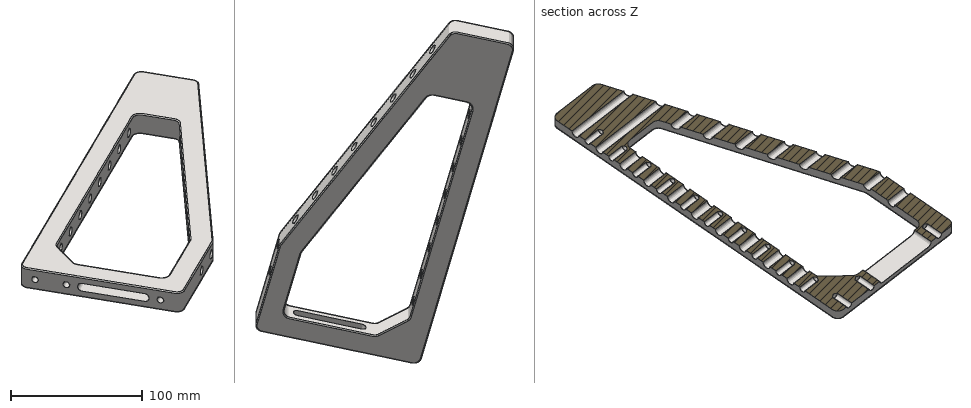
import cadquery as cq
import math

length = 300.0
width = 130.0
thickness = 18.0
mid_height = thickness / 2
edge_chamfer = 1.0

top_width = 49.8
slant_angle = 20.0
outer_corner_radius = 6.0
slant_run = math.tan(math.radians(slant_angle))
slant_foot_y = length - (width - top_width) / slant_run

wall = 17.7
window_top_y = 240.0
window_corner_radius = 6.0
gusset_leg = 21.0

hole_pitch = length / 12
hole_count = 10
through_diameter = 7.0
tapped_diameter = 5.0
tapped_depth = 15.0
drill_tip_angle = 118.0
slot_height = through_diameter
slot_length = 2 * hole_pitch + slot_height
slot_center_x = 3 * hole_pitch
end_hole_steps = (0.5, 1.5, 4.5)


def make_blank():
    """Plate with one slanted side and rounded corners."""
    outline = [
        (0, 0),
        (width, 0),
        (width, slant_foot_y),
        (top_width, length),
        (0, length),
    ]
    blank = cq.Workplane("XY").polyline(outline).close().extrude(thickness)
    return blank.edges("|Z").fillet(outer_corner_radius)


def make_window():
    """Opening that follows the outline, with a gusset across one corner."""
    right_x = width - wall
    slant_wall_x = wall / math.cos(math.radians(slant_angle))
    top_right_x = top_width - slant_wall_x + (length - window_top_y) * slant_run
    foot_y = window_top_y - (right_x - top_right_x) / slant_run
    outline = [
        (wall + gusset_leg, wall),
        (right_x, wall),
        (right_x, foot_y),
        (top_right_x, window_top_y),
        (wall, window_top_y),
        (wall, wall + gusset_leg),
    ]
    window = cq.Workplane("XY").polyline(outline).close().extrude(thickness)
    return window.edges("|Z").fillet(window_corner_radius)


def through_hole(y):
    """Cross hole running the full width of the plate along X."""
    start = cq.Vector(0, y, mid_height)
    return cq.Solid.makeCylinder(through_diameter / 2, width, start, cq.Vector(1, 0, 0))


def tapped_hole(x, y, direction):
    """Blind hole with a drill-point bottom, starting at an edge face."""
    radius = tapped_diameter / 2
    tip_length = radius / math.tan(math.radians(drill_tip_angle / 2))
    start = cq.Vector(x, y, mid_height)
    axis = cq.Vector(*direction)
    bore = cq.Solid.makeCylinder(radius, tapped_depth, start, axis)
    tip = cq.Solid.makeCone(radius, 0, tip_length, start + axis * tapped_depth, axis)
    return bore.fuse(tip)


def make_slot():
    """Rounded slot through the end wall along Y."""
    return (
        cq.Workplane("XZ", origin=(slot_center_x, 0, mid_height))
        .slot2D(slot_length, slot_height)
        .extrude(-wall)
    )


frame = make_blank().cut(make_window())

frame = frame.faces("<Z or >Z").edges().chamfer(edge_chamfer)

for index in range(hole_count):
    through_y = length - (index + 1) * hole_pitch
    frame = frame.cut(through_hole(through_y))
    frame = frame.cut(tapped_hole(0, through_y - hole_pitch / 2, (1, 0, 0)))

for step in end_hole_steps:
    frame = frame.cut(tapped_hole(step * hole_pitch, 0, (0, 1, 0)))
result = frame.cut(make_slot())